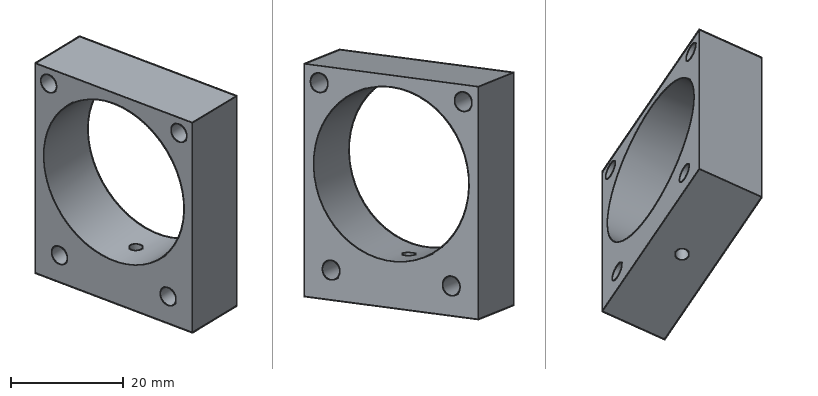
import cadquery as cq

width = 35.55
depth = 12.7
height = 42.4

bore_diameter = 31.75
bore_height = 24.4

mount_diameter = 3.55
upper_spacing = 29.45
upper_height = 39.32
lower_spacing = 24.55
lower_height = 5.47

radial_diameter = 2.45


def cylinder_through_depth(x, z, diameter):
    """Cylinder along Y spanning the full depth of the block."""
    axis_start = cq.Vector(x, -depth / 2, z)
    return cq.Workplane(cq.Solid.makeCylinder(diameter / 2, depth, axis_start, cq.Vector(0, 1, 0)))


result = cq.Workplane("XY").box(width, depth, height, centered=(True, True, False))

result = result.cut(cylinder_through_depth(0, bore_height, bore_diameter))

for spacing, hole_height in ((upper_spacing, upper_height), (lower_spacing, lower_height)):
    for side in (-1, 1):
        result = result.cut(cylinder_through_depth(side * spacing / 2, hole_height, mount_diameter))

radial_hole = cq.Workplane("XY").circle(radial_diameter / 2).extrude(bore_height)
result = result.cut(radial_hole)